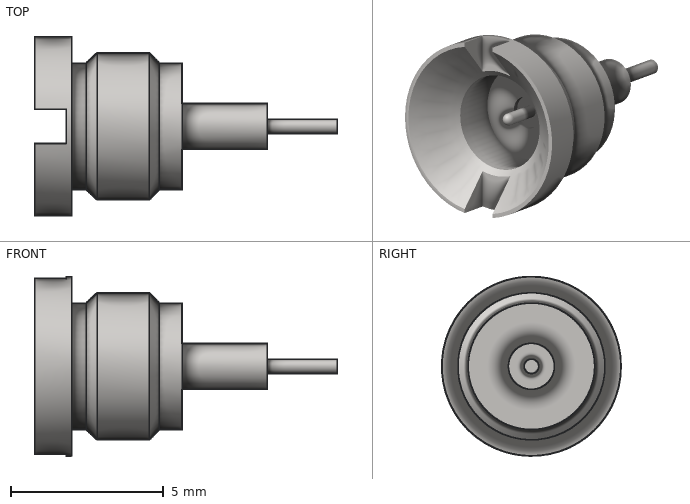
import cadquery as cq

flange_end = 1.22
slot_depth = 1.03
body_start = 1.68
body_full_start = 2.04
body_full_end = 3.76
body_end = 4.08
shell_end = 4.83
insulator_end = 7.62
total_length = 9.91

flange_diameter = 5.88
flange_radius = flange_diameter / 2
neck_radius = 2.07
body_radius = 2.41
insulator_radius = 0.75
tail_radius = 0.24

mouth_radius = 2.8
bore_radius = 1.59
cone_depth = mouth_radius - bore_radius
bore_depth = 2.77

contact_radius = 0.2
contact_start = 1.53
recess_radius = 0.54
recess_depth = 0.2
root_overlap = 0.1

slot_width = 1.11


def cylinder(radius, start, end):
    """Solid cylinder on the X axis between two stations."""
    return cq.Workplane("YZ", origin=(start, 0, 0)).circle(radius).extrude(end - start)


def revolve_about_x(points):
    """Turn a closed (x, radius) outline about the X axis."""
    return cq.Workplane("XY").polyline(points).close().revolve(360, (0, 0, 0), (1, 0, 0))


def make_shell():
    """Flange, necks and chamfered body with the insulator and tail pin, all as one solid profile."""
    return revolve_about_x([
        (0, 0),
        (0, flange_radius),
        (flange_end, flange_radius),
        (flange_end, neck_radius),
        (body_start, neck_radius),
        (body_full_start, body_radius),
        (body_full_end, body_radius),
        (body_end, neck_radius),
        (shell_end, neck_radius),
        (shell_end, insulator_radius),
        (insulator_end, insulator_radius),
        (insulator_end, tail_radius),
        (total_length, tail_radius),
        (total_length, 0),
    ])


def make_socket():
    """Space inside the connector, including the recess in its floor."""
    socket = revolve_about_x([
        (0, 0),
        (0, mouth_radius),
        (cone_depth, bore_radius),
        (bore_depth, bore_radius),
        (bore_depth, 0),
    ])
    return socket.union(cylinder(recess_radius, bore_depth, bore_depth + recess_depth))


def make_slot():
    """Slot across the mouth, cutting the top and bottom of the flange."""
    return cq.Workplane("XY").box(
        slot_depth, slot_width, flange_diameter + slot_width, centered=(False, True, True)
    )


def make_contact():
    """Contact pin with a hemispherical tip, standing on the recess floor."""
    shank_start = contact_start + contact_radius
    shank = cylinder(contact_radius, shank_start, bore_depth + recess_depth + root_overlap)
    tip = cq.Workplane("XY").sphere(contact_radius).translate((shank_start, 0, 0))
    return shank.union(tip)


result = make_shell().cut(make_socket()).cut(make_slot()).union(make_contact())